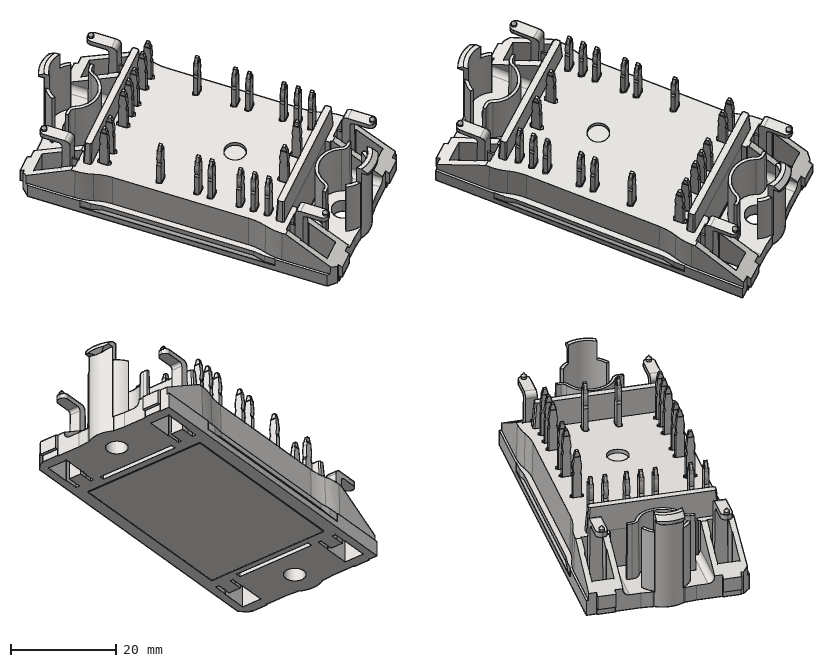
import cadquery as cq
import math

pad_height = 0.2
tab_bottom = 1.65
floor_top = 3.5
deck_top = 11.15
fin_top = 16.7
cut_top = deck_top + 0.7

base_half_length = 32.1
base_width = 32.5
base_half_width = base_width / 2
corner_cut = 1.5
bulge_half_width = 5.5
bulge = 0.2
pad_length = 38.2
pad_width = 27.1

housing_half_width = 15.8
waist_depth = 1.15
waist_inner_x = 13.9
waist_outer_x = 21.15
housing_draft = 1.5
ramp_top_x = 21.9
ramp_slope = 0.6

recess_floor = 1.65
recess_half_length = 19.9
recess_ramp_x = 17.7
recess_flat_x = 15.4
recess_end_depth = 0.15
recess_depth = 0.4
recess_ledge = 0.1
recess_lip_height = 0.7

body_end_x = 20.5
bay_start_x = 21.55
bay_half_width = 9.0
bay_fillet = 1.3
slit_half_width = 8.6
window_outer_x = 29.95
window_width = 4.4
window_neck_x = 24.5
window_neck_width = 4.1
window_y = 12.4
tab_reach = 0.8
tab_width = 3.6
tab_y = (window_y - tab_width / 2, window_y + tab_width / 2)
tab_foot_reach = 0.2

fin_foot_length = 26.1
fin_foot_thickness = 1.7
fin_top_length = 25.2
fin_top_thickness = 1.4
fin_x = body_end_x - fin_foot_thickness / 2
fin_corner_cut = 0.3

screw_x = 27.4
screw_diameter = 4.3
shell_inner_radius = 4.8
shell_outer_radius = 5.7
ear_outer_radius = 5.5
ear_angle = 62.0
column_half_width = 2.8
column_foot_half_width = 3.2
hook_radius = 6.8
hook_top = 20.8
hook_nose_top = 20.0
hook_nose_bottom = 19.2
hook_root = 18.75
hook_corner_z = 19.55
hook_keel_half_width = 0.7
guard_radius = 4.9
guard_thickness = 0.8
guard_draft = 0.5
guard_bend_radius = 1.4
guard_tail_offset = 1.15
guard_tail_end = 6.8
guard_top = 15.7

clip_y = 12.3
clip_tip_x = 29.4
clip_pin_x = 28.7
clip_leg_outer_x = 24.6
clip_leg_inner_x = 23.0
clip_top = 16.55
clip_arm_bottom = 15.45
clip_width = 2.3
clip_leg_foot_width = 2.75
clip_bend_radius = 1.1
clip_inner_radius = 0.7
clip_tip_radius = 1.1
clip_pin_diameter = 1.1
clip_pin_height = 0.5
clip_cone_height = 0.7
clip_foot_top = 2.05
clip_rib_top = 10.7
clip_rib_thickness = 0.35

terminal_thickness = 0.9
terminal_tip_thickness = 0.6
terminal_width = 1.7
terminal_neck_half_width = 0.65
terminal_eye_half_width = 0.8
terminal_tip_half_width = 0.3
terminal_step_bottom = 15.9
terminal_step_top = 16.4
terminal_eye_top = 19.15
terminal_shoulder = 20.0
terminal_top = 21.2
socket_length = 2.7
socket_width = 1.2
socket_depth = 0.35
terminal_column_x = 16.75
terminal_row_y = 11.35
left_column_y = (11.35, 8.5, 4.25, 1.45, -1.45, -8.4, -11.35)
right_column_y = (3.5, -3.1)
back_row_x = (-6.7, 1.1, 4.0, 11.0, 13.9, 16.75)
front_row_x = (-5.35, 2.4, 5.1, 11.0, 13.9, 16.75)

dimple_x = 5.5
dimple_diameter = 4.3
dimple_depth = 0.8


def block(x_range, y_range, z_range):
    """Box between two limits on each axis."""
    lows = [min(r) for r in (x_range, y_range, z_range)]
    sizes = [abs(r[1] - r[0]) for r in (x_range, y_range, z_range)]
    return cq.Workplane("XY").box(*sizes, centered=False).translate(tuple(lows))


def both_ends(shape):
    """The shape and its mirror image across the YZ plane."""
    return shape.union(shape.mirror("YZ"))


def both_sides(shape):
    """The shape and its mirror image across the XZ plane."""
    return shape.union(shape.mirror("XZ"))


def polar(radius, degrees):
    """Point at a radius and angle about the origin."""
    angle = math.radians(degrees)
    return radius * math.cos(angle), radius * math.sin(angle)


def make_base():
    """Base plate with cut front corners, slight end bulges and the contact pad below.

    A shallow foot continues each end tab down the plate.
    """
    length, width = base_half_length, base_half_width
    right_edge = [
        (length - corner_cut, -width),
        (length, -width + corner_cut),
        (length, -bulge_half_width),
        (length + bulge, -column_foot_half_width),
        (length + bulge, column_foot_half_width),
        (length, bulge_half_width),
        (length, width),
    ]
    left_edge = [(-x, y) for x, y in reversed(right_edge)]
    plate = (
        cq.Workplane("XY", origin=(0, 0, pad_height))
        .polyline(right_edge + left_edge)
        .close()
        .extrude(floor_top - pad_height)
    )
    pad = cq.Workplane("XY").box(pad_length, pad_width, floor_top, centered=(True, True, False))
    foot_x = (length - tab_reach, length + tab_foot_reach)
    tab_foot = block(foot_x, tab_y, (pad_height, tab_bottom))
    return plate.union(pad).union(both_ends(both_sides(tab_foot)))


def side_recess():
    """Cutter for the recess in the back edge of the base plate, with a sloped floor."""
    right_wall = [
        (recess_flat_x, base_half_width - recess_depth),
        (recess_ramp_x, base_half_width - recess_end_depth),
        (recess_half_length, base_half_width - recess_end_depth),
    ]
    left_wall = [(-x, y) for x, y in reversed(right_wall)]
    outer_y = base_half_width + recess_depth
    outline = left_wall + right_wall + [(recess_half_length, outer_y), (-recess_half_length, outer_y)]
    cutter = cq.Workplane("XY").polyline(outline).close().extrude(floor_top)
    section = [
        (outer_y, recess_floor),
        (base_half_width - recess_ledge, recess_floor),
        (base_half_width - recess_depth, recess_floor + recess_lip_height),
        (base_half_width - recess_depth, floor_top),
        (outer_y, floor_top),
    ]
    above_floor = (
        cq.Workplane("YZ").polyline(section).close().extrude(recess_half_length, both=True)
    )
    return cutter.intersect(above_floor)


def waist_side(sketch, side):
    """Add one long side of the housing outline, drawn along X in the direction of side."""
    outer_y = -side * housing_half_width
    inner_y = -side * (housing_half_width - waist_depth)
    middle_x = (waist_inner_x + waist_outer_x) / 2
    middle_y = (outer_y + inner_y) / 2
    return (
        sketch.lineTo(-side * waist_outer_x, outer_y)
        .tangentArcPoint((-side * middle_x, middle_y), relative=False)
        .tangentArcPoint((-side * waist_inner_x, inner_y), relative=False)
        .lineTo(side * waist_inner_x, inner_y)
        .tangentArcPoint((side * middle_x, middle_y), relative=False)
        .tangentArcPoint((side * waist_outer_x, outer_y), relative=False)
    )


def make_housing():
    """Drafted, waisted housing cut to the plate ends and the two ramps, with the end tabs."""
    length, width = base_half_length, housing_half_width
    tab_x = length + tab_reach
    outline = cq.Workplane("XY", origin=(0, 0, floor_top)).moveTo(-tab_x, -width)
    outline = waist_side(outline, 1)
    outline = outline.lineTo(tab_x, -width).lineTo(tab_x, width)
    outline = waist_side(outline, -1)
    outline = outline.lineTo(-tab_x, width)
    housing = outline.close().extrude(deck_top - floor_top, taper=housing_draft)
    footprint = (
        cq.Workplane("XY")
        .rect(2 * length, base_width)
        .extrude(deck_top)
        .edges("|Z and <Y")
        .chamfer(corner_cut)
    )
    tab = block((length - tab_reach, tab_x), tab_y, (tab_bottom, deck_top))
    housing = housing.intersect(footprint).union(both_ends(both_sides(tab)))

    ramp_end_z = deck_top - ramp_slope * (tab_x - ramp_top_x)
    profile = [
        (-tab_x, 0),
        (tab_x, 0),
        (tab_x, ramp_end_z),
        (ramp_top_x, deck_top),
        (-ramp_top_x, deck_top),
        (-tab_x, ramp_end_z),
    ]
    envelope = cq.Workplane("XZ").polyline(profile).close().extrude(base_half_width, both=True)
    return housing.intersect(envelope)


def window_cutter(inner_x, outer_x, width):
    """Through cutter for a stretch of the +X, +Y clip window."""
    y_range = (window_y - width / 2, window_y + width / 2)
    return block((inner_x, outer_x), y_range, (0, cut_top))


def end_openings():
    """Cutter for both open bays, the slits beside the body and the four clip windows."""
    far_x = base_half_length + 2 * tab_reach
    bay = block((bay_start_x, far_x), (-bay_half_width, bay_half_width), (floor_top, cut_top))
    bay = bay.edges("|X and <Z").fillet(bay_fillet)
    slit = block((body_end_x, bay_start_x), (-slit_half_width, slit_half_width), (0, cut_top))
    window = window_cutter(window_neck_x, window_outer_x, window_width)
    window_neck = window_cutter(bay_start_x, window_neck_x, window_neck_width)
    window = window.union(window_neck)
    return both_ends(bay.union(slit).union(both_sides(window)))


def make_fin():
    """Drafted fin standing across the deck at the +X end."""
    return (
        cq.Workplane("XY", origin=(fin_x, 0, deck_top))
        .rect(fin_foot_thickness, fin_foot_length)
        .workplane(offset=fin_top - deck_top)
        .rect(fin_top_thickness, fin_top_length)
        .loft()
        .edges("not (|X or |Y)")
        .chamfer(fin_corner_cut)
    )


def ring(inner_radius, outer_radius, bottom, top):
    """Plain ring about the Z axis."""
    return (
        cq.Workplane("XY", origin=(0, 0, bottom))
        .circle(outer_radius)
        .circle(inner_radius)
        .extrude(top - bottom)
    )


def screw_column():
    """Curved outer shell of a screw tower, centred on the screw and bulging toward +X."""
    reach = 2 * hook_radius
    sector = (
        cq.Workplane("XY")
        .polyline([(0, 0), polar(reach, -ear_angle), polar(reach, ear_angle)])
        .close()
        .extrude(hook_top)
    )
    ears = ring(shell_inner_radius, ear_outer_radius, floor_top, fin_top).intersect(sector)

    strip = block((0, hook_radius), (-column_half_width, column_half_width), (0, hook_top))
    column = ring(shell_inner_radius, shell_outer_radius, pad_height, hook_top).intersect(strip)

    hook_profile = [
        (shell_inner_radius, hook_root),
        (shell_outer_radius, hook_root),
        (hook_radius, hook_nose_bottom),
        (hook_radius, hook_nose_top),
        (shell_outer_radius, hook_top),
        (shell_inner_radius, hook_top),
    ]
    hook_front = [
        (-column_half_width, hook_top),
        (-column_half_width, hook_corner_z),
        (-hook_keel_half_width, hook_root),
        (hook_keel_half_width, hook_root),
        (column_half_width, hook_corner_z),
        (column_half_width, hook_top),
    ]
    hook = cq.Workplane("XZ").polyline(hook_profile).close().revolve(360, (0, 0, 0), (0, 1, 0))
    hook = hook.intersect(cq.Workplane("YZ").polyline(hook_front).close().extrude(hook_radius))

    foot = ring(shell_inner_radius, shell_outer_radius, pad_height, floor_top)
    foot_strip = block(
        (0, hook_radius), (-column_foot_half_width, column_foot_half_width), (0, floor_top)
    )
    return ears.union(column).union(hook).union(foot.intersect(foot_strip))


def screw_guard():
    """Curved inner wall of a screw tower with bent tails, bulging toward -X."""
    bend_x = guard_tail_offset + guard_bend_radius
    bend_y = math.sqrt((guard_radius + guard_bend_radius) ** 2 - bend_x**2)
    contact_angle = math.degrees(math.atan2(bend_y, bend_x))

    def edge_points(offset):
        """Points of one face of the wall, from the +Y tail end to the mid plane."""
        bend = guard_bend_radius - offset
        turn_dx, turn_dy = polar(bend, 180 + contact_angle / 2)
        return {
            "tail_end": (bend_x - bend, guard_tail_end),
            "tail": (bend_x - bend, bend_y),
            "turn": (bend_x + turn_dx, bend_y + turn_dy),
            "contact": polar(guard_radius + offset, contact_angle),
            "crown": (guard_radius + offset, 0),
        }

    outer = edge_points(guard_thickness / 2)
    inner = edge_points(-guard_thickness / 2)

    def flip(point):
        return point[0], -point[1]

    wall = (
        cq.Workplane("XY", origin=(0, 0, floor_top))
        .moveTo(*outer["tail_end"])
        .lineTo(*outer["tail"])
        .threePointArc(outer["turn"], outer["contact"])
        .threePointArc(outer["crown"], flip(outer["contact"]))
        .threePointArc(flip(outer["turn"]), flip(outer["tail"]))
        .lineTo(*flip(outer["tail_end"]))
        .lineTo(*flip(inner["tail_end"]))
        .lineTo(*flip(inner["tail"]))
        .threePointArc(flip(inner["turn"]), flip(inner["contact"]))
        .threePointArc(inner["crown"], inner["contact"])
        .threePointArc(inner["turn"], inner["tail"])
        .lineTo(*inner["tail_end"])
        .close()
        .extrude(guard_top - floor_top, taper=guard_draft)
    )
    return wall.mirror("YZ")


def make_clip():
    """Spring clip in the +X, +Y window: leg, arm, locating pin and the foot joining the body."""
    profile = [
        (clip_leg_inner_x, pad_height),
        (clip_leg_inner_x, clip_top),
        (clip_tip_x, clip_top),
        (clip_tip_x, clip_arm_bottom),
        (clip_leg_outer_x, clip_arm_bottom),
        (clip_leg_outer_x, pad_height),
    ]
    half_foot = clip_leg_foot_width / 2
    front = [
        (-half_foot, pad_height),
        (half_foot, pad_height),
        (clip_width / 2, clip_top),
        (-clip_width / 2, clip_top),
    ]
    strip = cq.Workplane("XZ").polyline(profile).close().extrude(half_foot, both=True)
    strip = strip.edges("|Y and <X and >Z").fillet(clip_bend_radius)
    inner_corner = (clip_leg_outer_x, 0, clip_arm_bottom)
    strip = strip.edges(cq.selectors.NearestToPointSelector(inner_corner)).fillet(clip_inner_radius)
    strip = strip.intersect(cq.Workplane("YZ").polyline(front).close().extrude(clip_tip_x))
    strip = strip.faces(">X").edges("not |Y").fillet(clip_tip_radius)

    gap = (body_end_x, clip_leg_inner_x)
    foot = block(gap, (-half_foot, half_foot), (pad_height, clip_foot_top))
    half_rib = clip_rib_thickness / 2
    rib = block(gap, (-half_rib, half_rib), (pad_height, clip_rib_top))

    pin_radius = clip_pin_diameter / 2
    pin_shoulder = clip_top + clip_pin_height
    pin = (
        cq.Workplane("XZ")
        .polyline(
            [
                (0, clip_arm_bottom),
                (pin_radius, clip_arm_bottom),
                (pin_radius, pin_shoulder),
                (0, pin_shoulder + clip_cone_height),
            ]
        )
        .close()
        .revolve(360, (0, 0, 0), (0, 1, 0))
        .translate((clip_pin_x, 0, 0))
    )
    clip = strip.union(foot).union(rib).union(pin)
    return clip.translate((0, clip_y, 0))


def make_terminal():
    """Press-fit terminal at the origin, its blade lying along X."""
    wide, neck = terminal_width / 2, terminal_neck_half_width
    tip, eye = terminal_tip_half_width, terminal_eye_half_width
    bottom = deck_top - 2 * socket_depth
    eye_middle = (terminal_step_top + terminal_eye_top) / 2
    blade = (
        cq.Workplane("XZ")
        .moveTo(-wide, bottom)
        .lineTo(wide, bottom)
        .lineTo(wide, terminal_step_bottom)
        .lineTo(neck, terminal_step_top)
        .threePointArc((eye, eye_middle), (neck, terminal_eye_top))
        .lineTo(neck, terminal_shoulder)
        .lineTo(tip, terminal_top)
        .lineTo(-tip, terminal_top)
        .lineTo(-neck, terminal_shoulder)
        .lineTo(-neck, terminal_eye_top)
        .threePointArc((-eye, eye_middle), (-neck, terminal_step_top))
        .lineTo(-wide, terminal_step_bottom)
        .close()
        .extrude(terminal_thickness / 2, both=True)
    )
    shank = cq.Workplane("XY").box(
        2 * wide, terminal_thickness, terminal_shoulder, centered=(True, True, False)
    )
    core = cq.Workplane("XY").box(
        2 * wide, terminal_tip_thickness, terminal_top, centered=(True, True, False)
    )
    return blade.intersect(shank.union(core))


def make_socket():
    """Cutter for the shallow slot around a terminal, lying along X."""
    return (
        cq.Workplane("XY", origin=(0, 0, deck_top - socket_depth))
        .slot2D(socket_length, socket_width)
        .extrude(2 * socket_depth)
    )


def place_terminals(shape):
    """Copies of a terminal or socket at every terminal position."""
    along_x = [(-terminal_column_x, y) for y in left_column_y]
    along_x += [(terminal_column_x, y) for y in right_column_y]
    along_y = [(x, terminal_row_y) for x in back_row_x]
    along_y += [(x, -terminal_row_y) for x in front_row_x]
    turned = shape.rotate((0, 0, 0), (0, 0, 1), 90)
    copies = [shape.translate((x, y, 0)) for x, y in along_x]
    copies += [turned.translate((x, y, 0)) for x, y in along_y]
    placed = cq.Workplane("XY")
    for copy in copies:
        placed = placed.add(copy)
    return placed.combine()


part = make_base().cut(both_sides(side_recess()))
part = part.union(make_housing()).cut(end_openings())
screw_hole = cq.Workplane("XY").center(screw_x, 0).circle(screw_diameter / 2).extrude(floor_top)
part = part.cut(both_ends(screw_hole))
dimple = (
    cq.Workplane("XY", origin=(dimple_x, 0, deck_top - dimple_depth))
    .circle(dimple_diameter / 2)
    .extrude(dimple_depth)
)
part = part.cut(dimple).cut(place_terminals(make_socket()))

tower = screw_column().union(screw_guard()).translate((screw_x, 0, 0))
part = part.union(both_ends(tower)).union(both_ends(make_fin()))
part = part.union(both_ends(both_sides(make_clip())))
part = part.union(place_terminals(make_terminal()))

result = part